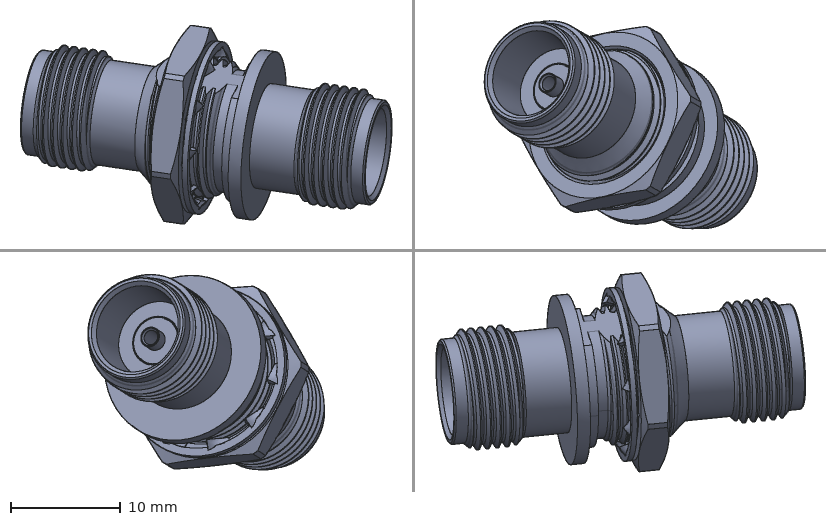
import cadquery as cq
import math


body_length = 32.5
tube_radius = 9.65 / 2
end_chamfer = 0.15

pitch = 25.4 / 28
crest_width = 0.12
thread_depth = 0.475
flank_angle = math.radians(30)
root_width = crest_width + 2 * thread_depth * math.tan(flank_angle)
crest_clearance = 0.1
root_overlap = 0.05
overlap_widening = 2 * root_overlap * math.tan(flank_angle)

coupling_radius = 11.11 / 2
coupling_length = 5.36
coupling_starts = (1.25, 25.87)
coupling_phase = 0.45

mount_radius = 12.7 / 2
mount_start = 10.84
mount_phase = 0.276
mount_lead_in = 1.8
groove_start = 18.45
groove_radius = 5.63
collar_start = 19.47
flange_start = 20.47
flange_thickness = 1.2
flange_radius = 15.5 / 2
flat_height = 5.56

socket_mouth_radius = 4.4
socket_radius = 4.05
socket_floor_radius = 3.67
socket_mouth_depth = 0.35
socket_depth = 4.6
insulator_radius = 4.57 / 2
insulator_gap = 0.1
insulator_gap_depth = 0.5
contact_radius = 1.85 / 2
contact_bore_radius = 1.35 / 2
contact_mouth_radius = 0.83
contact_mouth_depth = 0.2
contact_length = 1.3
contact_bore_depth = 3.0

nut_start = 13.15
nut_thickness = 2.65
nut_flats = 15.88
nut_corners = 18.03
nut_face_radius = 7.91
nut_chamfer = 0.42
nut_mouth_radius = 6.6
nut_thread_clearance = 0.01

washer_start = 16.17
washer_thickness = 0.5
washer_radius = 15.88 / 2
washer_bore_radius = 7.2
tooth_count = 10
tooth_width = 2.1
tooth_twist = -34
tooth_tip_radius = 6.6
tooth_root_depth = 0.3
tooth_root_radius = washer_bore_radius + tooth_root_depth
tooth_root_thickness = 0.4
tooth_angle = 7.5


def revolve(points):
    """Solid of revolution about X from (x, radius) points."""
    return cq.Workplane("XY").polyline(points).close().revolve(360, (0, 0, 0), (1, 0, 0))


def cylinder(start, length, radius):
    return cq.Workplane("YZ", origin=(start, 0, 0)).circle(radius).extrude(length)


def helical_ridge(first, last, foot_radius, foot_width, top_radius, top_width):
    """Right-handed ridge at -Z on X = first, running to at least X = last."""
    height = math.ceil((last - first) / pitch) * pitch
    helix = cq.Workplane(cq.Wire.makeHelix(pitch, height, foot_radius))
    outline = cq.Workplane("XZ").polyline([
        (foot_radius, -foot_width / 2),
        (top_radius, -top_width / 2),
        (top_radius, top_width / 2),
        (foot_radius, foot_width / 2),
    ]).close()
    ridge = outline.sweep(helix, isFrenet=True)
    return ridge.rotate((0, 0, 0), (0, 1, 0), 90).translate((first, 0, 0))


def threaded_section(start, end, major_radius, phase, start_radius, end_radius, lead_in):
    """Thread between two end cones; the right-hand cone is at 45 degrees."""
    lead_slope = (major_radius - start_radius) / lead_in

    def profile(radius):
        """Cylinder of this radius between the two end cones."""
        return revolve([
            (start, 0),
            (start, start_radius),
            (start + (radius - start_radius) / lead_slope, radius),
            (end - (radius - end_radius), radius),
            (end, end_radius),
            (end, 0),
        ])

    core = profile(major_radius - thread_depth)
    envelope = profile(major_radius + crest_clearance)
    ridge = helical_ridge(
        start + phase - pitch, end + pitch / 2,
        major_radius - thread_depth - root_overlap, root_width + overlap_widening,
        major_radius, crest_width)
    ridge = ridge.intersect(envelope, clean=False)
    return core.union(ridge, clean=False)


def socket():
    """Cavity of the left end, with the tubular contact standing on its floor."""
    contact_face = socket_depth - contact_length
    cavity = revolve([
        (0, 0),
        (0, socket_mouth_radius),
        (socket_mouth_depth, socket_radius),
        (socket_depth, socket_floor_radius),
        (socket_depth, contact_radius),
        (contact_face, contact_radius),
        (contact_face, contact_mouth_radius),
        (contact_face + contact_mouth_depth, contact_bore_radius),
        (contact_face + contact_bore_depth, contact_bore_radius),
        (contact_face + contact_bore_depth, 0),
    ])
    insulator_ring = cylinder(socket_depth, insulator_gap_depth, insulator_radius).cut(
        cylinder(socket_depth, insulator_gap_depth, insulator_radius - insulator_gap))
    return cavity.union(insulator_ring, clean=False)


def make_body():
    body = cylinder(0, body_length, tube_radius).faces("<X or >X").chamfer(end_chamfer)
    coupling = threaded_section(
        0, coupling_length, coupling_radius, coupling_phase,
        tube_radius, tube_radius, coupling_radius - tube_radius)
    for start in coupling_starts:
        body = body.union(coupling.translate((start, 0, 0)), clean=False)
    mount = threaded_section(
        mount_start, groove_start, mount_radius, mount_phase,
        tube_radius, groove_radius, mount_lead_in)
    mount = mount.union(cylinder(groove_start, collar_start - groove_start, groove_radius), clean=False)
    mount = mount.union(cylinder(collar_start, flange_start - collar_start, mount_radius), clean=False)
    above_flat = cq.Workplane("XY", origin=(mount_start, 0, flat_height)).rect(
        2 * (flange_start - mount_start), 2 * mount_radius).extrude(mount_radius)
    body = body.union(mount.cut(above_flat, clean=False), clean=False)
    body = body.union(cylinder(flange_start, flange_thickness, flange_radius), clean=False)
    left = socket()
    right = left.mirror("YZ").translate((body_length, 0, 0))
    return body.cut(left, clean=False).cut(right, clean=False)


def nut_thread(bore_radius):
    """Inner ridge that fills the groove of the mounting thread, cut off by the cones of both mouths."""
    nut_end = nut_start + nut_thickness
    minor_radius = bore_radius - thread_depth
    envelope_radius = nut_mouth_radius - crest_clearance
    inner_radius = minor_radius - crest_clearance
    envelope = revolve([
        (nut_start + nut_mouth_radius - envelope_radius, envelope_radius),
        (nut_start + nut_mouth_radius - inner_radius, inner_radius),
        (nut_end - nut_mouth_radius + inner_radius, inner_radius),
        (nut_end - nut_mouth_radius + envelope_radius, envelope_radius),
    ])
    groove_phase = mount_start + mount_phase + pitch / 2
    turns_before = math.floor((nut_start - groove_phase) / pitch)
    ridge = helical_ridge(
        groove_phase + turns_before * pitch, nut_end + pitch,
        bore_radius + root_overlap, pitch - crest_width + overlap_widening,
        minor_radius, pitch - root_width)
    return ridge.intersect(envelope, clean=False)


def make_nut():
    nut_end = nut_start + nut_thickness
    corner_radius = nut_corners / 2
    nut = cq.Workplane("YZ", origin=(nut_start, 0, 0)).polygon(
        6, nut_flats / math.cos(math.pi / 6)).extrude(nut_thickness)
    nut = nut.intersect(revolve([
        (nut_start, 0),
        (nut_start, nut_face_radius),
        (nut_start + nut_chamfer, corner_radius),
        (nut_end - nut_chamfer, corner_radius),
        (nut_end, nut_face_radius),
        (nut_end, 0),
    ]))
    bore_radius = mount_radius + nut_thread_clearance
    mouth_depth = nut_mouth_radius - bore_radius
    nut = nut.cut(revolve([
        (nut_start, 0),
        (nut_start, nut_mouth_radius),
        (nut_start + mouth_depth, bore_radius),
        (nut_end - mouth_depth, bore_radius),
        (nut_end, nut_mouth_radius),
        (nut_end, 0),
    ]))
    return nut.union(nut_thread(bore_radius), clean=False)


def washer_tooth():
    """Tooth at -Y that twists from flat at the ring to tilted at its tip."""
    middle = washer_start + washer_thickness / 2
    tip = cq.Workplane("XZ", origin=(middle, -tooth_tip_radius, 0)).transformed(rotate=(0, 0, tooth_twist))
    tooth = tip.rect(washer_thickness, tooth_width).workplane(offset=tooth_root_radius - tooth_tip_radius)
    tooth = tooth.transformed(rotate=(0, 0, -tooth_twist)).rect(tooth_root_thickness, tooth_width)
    return tooth.loft(ruled=True)


def make_washer():
    washer = cylinder(washer_start, washer_thickness, washer_radius).cut(
        cylinder(washer_start, washer_thickness, washer_bore_radius))
    tooth = washer_tooth()
    for index in range(tooth_count):
        angle = tooth_angle + index * 360 / tooth_count
        washer = washer.union(tooth.rotate((0, 0, 0), (1, 0, 0), -angle), clean=False)
    return washer.cut(cylinder(0, nut_start + nut_thickness, washer_radius), clean=False)


body = make_body()
nut = make_nut()
washer = make_washer()
result = cq.Compound.makeCompound([body.val(), nut.val(), washer.val()])